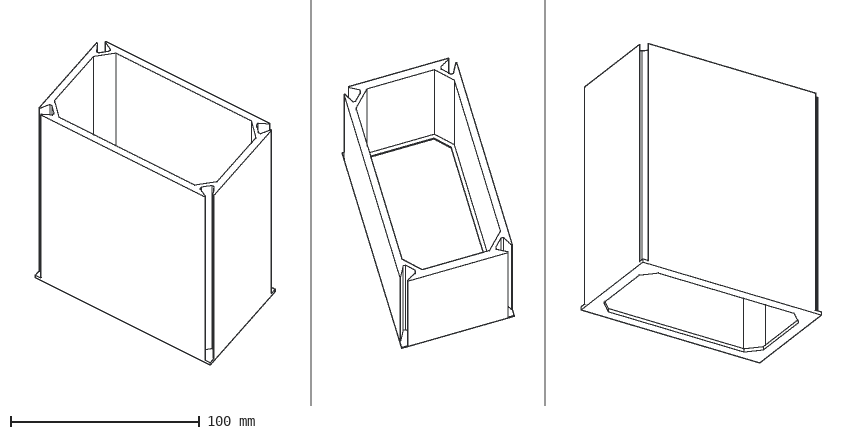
import cadquery as cq
import math

length = 111.3
width = 62.2
height = 133.0

wall = 4.0
corner_chamfer = 8.5
base_thickness = 2.0
ledge_width = 2.0

slot_mouth = 3.5
lip_depth = 0.5
slot_depth = 8.8
slot_floor_end = 4.8
slot_flank_end = 3.5


def chamfered_core(inset, chamfer):
    """Full-height core set in from the outer sides, with chamfered corners."""
    core = cq.Workplane("XY").box(
        length - 2 * inset, width - 2 * inset, height, centered=(True, True, False)
    )
    return core.edges("|Z").chamfer(chamfer)


def corner_slot():
    """Flared slot at the corner with minimum X and Y, above the base."""
    half_outline = [
        (slot_mouth, 0),
        (slot_mouth, lip_depth),
        (slot_depth, slot_flank_end),
        (slot_depth, slot_floor_end),
    ]
    mirrored_half = [(y, x) for x, y in reversed(half_outline)]
    outline = [(0, 0)] + half_outline + mirrored_half
    slot = cq.Workplane("XY").polyline(outline).close().extrude(height - base_thickness)
    return slot.translate((-length / 2, -width / 2, base_thickness))


body = cq.Workplane("XY").box(length, width, height, centered=(True, True, False))

cavity = chamfered_core(wall, corner_chamfer)
body = body.cut(cavity.translate((0, 0, base_thickness)))

ledge_chamfer = corner_chamfer - ledge_width * (2 - math.sqrt(2))
body = body.cut(chamfered_core(wall + ledge_width, ledge_chamfer))

slot = corner_slot()
opposite_slot = slot.mirror("YZ")
for side_slot in (slot, opposite_slot):
    body = body.cut(side_slot)
    body = body.cut(side_slot.mirror("XZ"))

result = body